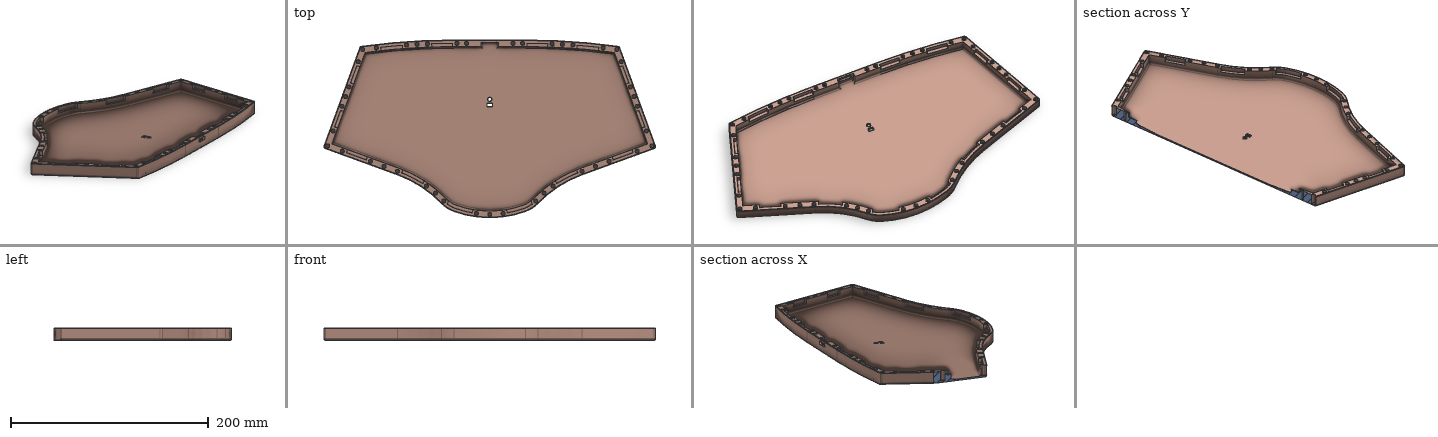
import cadquery as cq
import math

length = 335.0
width = 179.5
height = 12.5
floor_thickness = 2.0
wall_thickness = 6.7
edge_radius = 2.0
floor_radius = 1.7
top_chamfer = 0.5

wing_angle = math.radians(20)
neck_angle = math.radians(46)
nose_radius = 105.8
shoulder_radius = 33.5
neck_radius = 117.2
back_flat_half = 37.0
back_radius = 669.7

hole_diameter = 4.0
hole_depth = height - floor_thickness
rim_middle = 3.5

slot_depth = 4.7
slot_hole_gap = 4.5

notch_width = 17.7
notch_wall = 2.5

window_width = 13.5
window_middle = 8.0
window_height = 3.5

floor_hole_y = -60.0
floor_slot_y = -65.5
floor_slot_length = 5.5
floor_slot_width = 3.5

sin_wing = math.sin(wing_angle)
cos_wing = math.cos(wing_angle)


def arc_point(center, radius, angle):
    """Point on a circle, with the angle measured from -Y towards +X."""
    return (center[0] + radius * math.sin(angle), center[1] - radius * math.cos(angle))


nose = (0, -width)
nose_center = (0, nose_radius - width)
nose_end = arc_point(nose_center, nose_radius, wing_angle)
shoulder_center = arc_point(nose_center, nose_radius - shoulder_radius, wing_angle)
neck_start = arc_point(shoulder_center, shoulder_radius, neck_angle)
neck_center = arc_point(shoulder_center, shoulder_radius + neck_radius, neck_angle)
neck_end = arc_point(neck_center, -neck_radius, wing_angle)

tip_x = length / 2 + edge_radius * (cos_wing + sin_wing - 1)
tip = (tip_x, neck_end[1] + (tip_x - neck_end[0]) * math.tan(wing_angle))


def back_edge_y(x):
    """Y of the back edge: straight in the middle, a wide arc further out."""
    run = max(abs(x) - back_flat_half, 0)
    return math.sqrt(back_radius**2 - run**2) - back_radius


def side_back_corner():
    """Meeting point of the straight side wall and the back arc."""
    from_center = (tip[0] - back_flat_half, tip[1] + back_radius)
    along = -from_center[0] * sin_wing + from_center[1] * cos_wing
    gap = back_radius**2 - from_center[0]**2 - from_center[1]**2
    distance = math.sqrt(along**2 + gap) - along
    return (tip[0] - distance * sin_wing, tip[1] + distance * cos_wing)


back_corner = side_back_corner()


def mirror(point):
    return (-point[0], point[1])


def outline():
    """Closed outline of the tray, with sharp corners."""
    shoulder_mid = arc_point(shoulder_center, shoulder_radius, (wing_angle + neck_angle) / 2)
    neck_mid = arc_point(neck_center, -neck_radius, (wing_angle + neck_angle) / 2)
    nose_mid = arc_point(nose_center, nose_radius, wing_angle / 2)
    back_mid_x = (back_flat_half + back_corner[0]) / 2
    back_mid = (back_mid_x, back_edge_y(back_mid_x))
    back_flat_end = (back_flat_half, 0)
    return (
        cq.Workplane("XY")
        .moveTo(*mirror(nose_end))
        .threePointArc(mirror(nose_mid), nose)
        .threePointArc(nose_mid, nose_end)
        .threePointArc(shoulder_mid, neck_start)
        .threePointArc(neck_mid, neck_end)
        .lineTo(*tip)
        .lineTo(*back_corner)
        .threePointArc(back_mid, back_flat_end)
        .lineTo(*mirror(back_flat_end))
        .threePointArc(mirror(back_mid), mirror(back_corner))
        .lineTo(*mirror(tip))
        .lineTo(*mirror(neck_end))
        .threePointArc(mirror(neck_mid), mirror(neck_start))
        .threePointArc(mirror(shoulder_mid), mirror(nose_end))
        .close()
    )


def inset_block(inset, bottom, top):
    """Solid inside the outline, drawn in by `inset`, between two heights."""
    return outline().offset2D(-inset, "intersection").extrude(top - bottom).translate((0, 0, bottom))


def tray_body():
    """Solid block; its bottom edge is rounded all round except along the back."""
    block = outline().extrude(height)
    prism = block
    for x, y in [tip, mirror(tip)]:
        block = block.edges(cq.selectors.NearestToPointSelector((x, y, height / 2))).fillet(edge_radius)
    front_edges = cq.selectors.BoxSelector((-length, -width - 3.5, -3.5), (length, back_corner[1], 3.5))
    block = block.faces("<Z").edges(front_edges).fillet(edge_radius)
    for x, y in [back_corner, mirror(back_corner)]:
        prism = prism.edges(cq.selectors.NearestToPointSelector((x, y, height / 2))).fillet(edge_radius)
    return block.intersect(prism).faces(">Z").edges().chamfer(top_chamfer)


def cavity():
    """Inside space, with the notch in the back wall and a rounded floor edge."""
    inside = inset_block(wall_thickness, floor_thickness, height)
    notch = (
        cq.Workplane("XY", origin=(0, 0, floor_thickness))
        .rect(notch_width, 2 * wall_thickness + 6.7)
        .extrude(height - floor_thickness)
        .intersect(inset_block(notch_wall, floor_thickness, height))
    )
    return inside.union(notch).faces("<Z").edges().fillet(floor_radius)


def back_window():
    """Round-ended opening through the thin wall behind the notch."""
    return (
        cq.Workplane("XZ", origin=(0, 0, window_middle))
        .slot2D(window_width, window_height)
        .extrude(wall_thickness, both=True)
    )


def back_hole(x):
    return (x, back_edge_y(x) - rim_middle)


def side_hole(distance):
    """Hole on the side wall, at a distance from the wing tip."""
    return (
        tip[0] - distance * sin_wing - rim_middle * cos_wing,
        tip[1] + distance * cos_wing - rim_middle * sin_wing,
    )


def wing_hole(distance):
    """Hole on the straight front wall, at a distance from the wing tip."""
    return (
        tip[0] - distance * cos_wing - rim_middle * sin_wing,
        tip[1] - distance * sin_wing + rim_middle * cos_wing,
    )


def neck_hole(degrees):
    return arc_point(neck_center, -neck_radius - rim_middle, math.radians(degrees))


def nose_hole(degrees):
    return arc_point(nose_center, nose_radius - rim_middle, math.radians(degrees))


slot_ends = [
    (back_hole(33.0), back_hole(63.0)),
    (back_hole(84.0), back_hole(114.5)),
    (side_hole(93.8), side_hole(66.5)),
    (side_hole(46.0), side_hole(19.5)),
    (wing_hole(19.0), wing_hole(49.2)),
    (wing_hole(78.5), neck_hole(35)),
    (neck_hole(46), nose_hole(7.6)),
]
single_holes = [
    back_hole(23.5),
    back_hole(73.3),
    back_hole(128.2),
    side_hole(56.3),
    side_hole(rim_middle),
    wing_hole(64.0),
    neck_hole(40.5),
]


def rim_holes():
    half = single_holes + [point for pair in slot_ends for point in pair]
    points = half + [mirror(point) for point in half] + [nose_hole(0)]
    return (
        cq.Workplane("XY", origin=(0, 0, height - hole_depth))
        .pushPoints(points)
        .circle(hole_diameter / 2)
        .extrude(hole_depth)
    )


def slot_block(start, end):
    """Block between two holes, wide enough to cover the rim."""
    run = (end[0] - start[0], end[1] - start[1])
    middle = ((start[0] + end[0]) / 2, (start[1] + end[1]) / 2)
    return (
        cq.Workplane("XY")
        .box(math.hypot(*run) - 2 * slot_hole_gap, 4 * wall_thickness, slot_depth)
        .rotate((0, 0, 0), (0, 0, 1), math.degrees(math.atan2(run[1], run[0])))
        .translate((*middle, height - slot_depth / 2))
    )


def rim_slots():
    """Recesses in the inner half of the rim."""
    blocks = cq.Workplane("XY")
    for start, end in slot_ends:
        blocks = blocks.add(slot_block(start, end)).add(slot_block(mirror(start), mirror(end)))
    return blocks.combine().intersect(inset_block(rim_middle, height - slot_depth, height))


def floor_openings():
    round_hole = cq.Workplane("XY").center(0, floor_hole_y).circle(hole_diameter / 2)
    slot = cq.Workplane("XY").center(0, floor_slot_y).rect(floor_slot_length, floor_slot_width)
    return round_hole.extrude(floor_thickness).union(slot.extrude(floor_thickness))


result = (
    tray_body()
    .cut(cavity())
    .cut(back_window())
    .cut(rim_slots())
    .cut(rim_holes())
    .cut(floor_openings())
)